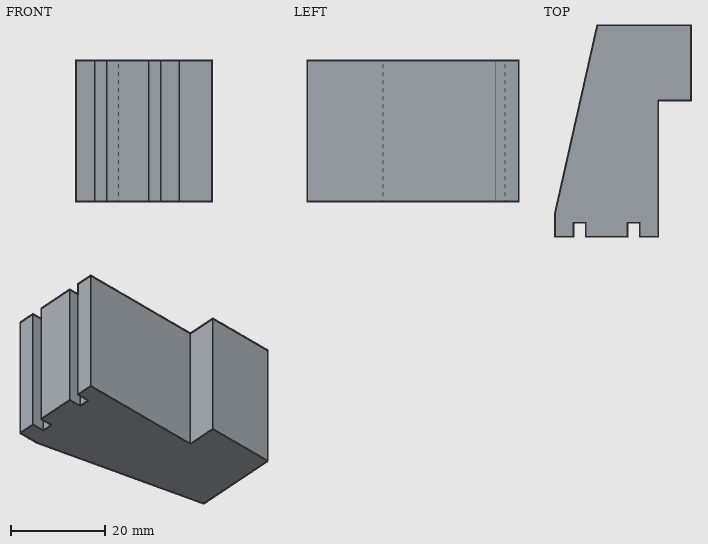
import cadquery as cq

length = 45.0
width = 29.0
height = 30.0

foot_width = 22.0
head_left = 9.0
head_length = 16.0
straight_side = 5.0

groove_width = 2.5
groove_depth = 3.0
groove_margin = 4.0


def make_body():
    outline = [
        (0, 0),
        (foot_width, 0),
        (foot_width, length - head_length),
        (width, length - head_length),
        (width, length),
        (head_left, length),
        (0, straight_side),
    ]
    return cq.Workplane("XY").polyline(outline).close().extrude(height)


def make_groove(left):
    groove = cq.Workplane("XY").box(groove_width, groove_depth, height, centered=False)
    return groove.translate((left, 0, 0))


result = make_body()
for groove_left in (groove_margin, foot_width - groove_margin - groove_width):
    result = result.cut(make_groove(groove_left))